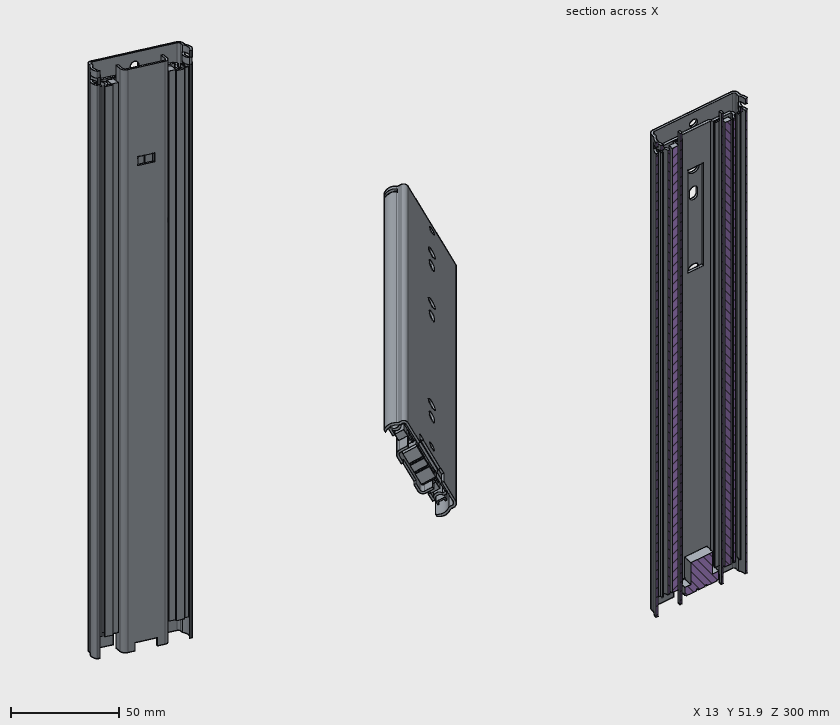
import cadquery as cq
import math


LENGTH = 300.0
DEPTH = 13.0
SHEET = 1.2
TRACK_X = 7.8
FLANGE_END_X = 11.5

LIP_Y = 24.5
LIP_THICKNESS = 1.35
CROWN_Y = 25.95
LIP_END_Y = 24.5
DENT_Y = 23.0
CORNER_RADIUS = 2.5
BULGE_START_X = 4.2
BULGE_BLEND_RADIUS = 1.8
LIP_END_RADIUS = 0.5
HOLE_DIAMETER = 6.3
PILOT_DIAMETER = 4.5
SLOT_LENGTH = 8.0
HOLE_HEIGHTS = [73.0, 201.0, 265.0]
SLOT_DROP = 16.0
PILOT_HEIGHTS = [19.8, 293.0]
DENT_BOTTOM = 292.8
DENT_HEIGHT = 3.5
NOTCH_WIDTH = 22.2
NOTCH_HEIGHT = 9.5
RELIEF_WIDTH = 3.0
RELIEF_HEIGHT = 1.0

MIDDLE_BOTTOM = 10.5
MIDDLE_TOP = 291.3
MIDDLE_SHEET = 1.35
MIDDLE_BACK_X = 2.55
MIDDLE_OFFSET = 1.0
PRESSED_HALF_WIDTH = 8.5
MIDDLE_Y = 20.7
RETURN_END_Y = 16.5
MIDDLE_CORNER = 1.5
GROOVE_HALF_WIDTH = 2.5
GROOVE_DEPTH = 1.5
WINDOW_BOTTOM = 202.2
WINDOW_TOP = 267.0
WINDOW_WIDTH = 9.0

INNER_BOTTOM = 0.5
INNER_TOP = 298.2
INNER_Y = 12.3
INNER_START_X = 6.0
INNER_CORNER = 2.7
INNER_SLOT_BOTTOM = 248.0
INNER_SLOT_HEIGHT = 4.5
INNER_SLOT_WIDTH = 9.0
CUTOUT_WIDTH = 11.7
CUTOUT_TOP = 4.8

CAGE_SHEET = 0.75
OUTER_CAGE_WIDTH = 4.8
OUTER_CAGE_Y = 21.5
OUTER_CAGE_HEIGHT = 1.8
INNER_CAGE_Y = 13.2
INNER_CAGE_HEIGHT = 3.5
INNER_CAGE_WIDTH = 4.8
INNER_CAGE_ARM = 1.0
INNER_CAGE_LEG = 4.8

STOP_BOTTOM = 4.2
STOP_TOP = 10.2
STOP_WIDTH = 19.2
STOP_BACK_X = 3.0
STOP_FRONT_X = 10.5
STOP_CORNER = 1.0
POST_WIDTH = 12.5
POST_TOP = 24.0
UNDERCUT_DEPTH = 2.5
UNDERCUT_WIDTH = 15.3
UNDERCUT_BOTTOM = 6.5
UNDERCUT_SAG = 0.3
CATCH_WIDTH = 3.0
CATCH_BOTTOM = 5.7
NICK_WIDTH = 1.0
NICK_OFFSET = 2.5


def symmetric_extrusion(half_profile, bottom, top):
    """Extrude a half profile that closes on Y = 0 and join its mirror image."""
    half = half_profile.close().extrude(top - bottom).translate((0, 0, bottom))
    return half.union(half.mirror("XZ"))


def cross_box(x_start, x_end, width, bottom, top):
    """Box centred on Y = 0."""
    box = cq.Workplane("XY").box(x_end - x_start, width, top - bottom, centered=(False, True, False))
    return box.translate((x_start, 0, bottom))


def outer_rail():
    lip_inner_y = LIP_Y - LIP_THICKNESS
    inner_radius = CORNER_RADIUS - SHEET
    diagonal = 1 - math.cos(math.radians(45))
    profile = (
        cq.Workplane("XY")
        .lineTo(0, LIP_Y - CORNER_RADIUS)
        .threePointArc(
            (CORNER_RADIUS * diagonal, LIP_Y - CORNER_RADIUS * diagonal), (CORNER_RADIUS, LIP_Y)
        )
        .lineTo(BULGE_START_X, LIP_Y)
        .threePointArc((TRACK_X, CROWN_Y), (FLANGE_END_X, LIP_END_Y))
        .lineTo(FLANGE_END_X, LIP_END_Y - LIP_THICKNESS)
        .threePointArc((TRACK_X, CROWN_Y - LIP_THICKNESS), (BULGE_START_X, lip_inner_y))
        .lineTo(CORNER_RADIUS, lip_inner_y)
        .threePointArc(
            (SHEET + inner_radius * diagonal, lip_inner_y - inner_radius * diagonal),
            (SHEET, lip_inner_y - inner_radius),
        )
        .lineTo(SHEET, 0)
    )
    rail = symmetric_extrusion(profile, 0, LENGTH)
    middle_height = LENGTH / 2
    for side in (-1, 1):
        bulge_start = cq.NearestToPointSelector((BULGE_START_X, side * LIP_Y, middle_height))
        lip_end = cq.NearestToPointSelector((FLANGE_END_X, side * LIP_END_Y, middle_height))
        rail = rail.edges(bulge_start).fillet(BULGE_BLEND_RADIUS)
        rail = rail.edges(lip_end).fillet(LIP_END_RADIUS)

    plate_face = cq.Workplane("YZ")
    slot_heights = [height - SLOT_DROP for height in HOLE_HEIGHTS]
    holes = plate_face.pushPoints([(0, z) for z in HOLE_HEIGHTS]).circle(HOLE_DIAMETER / 2).extrude(SHEET)
    pilots = plate_face.pushPoints([(0, z) for z in PILOT_HEIGHTS]).circle(PILOT_DIAMETER / 2).extrude(SHEET)
    slots = (
        plate_face.pushPoints([(0, z) for z in slot_heights])
        .slot2D(SLOT_LENGTH, PILOT_DIAMETER, 90)
        .extrude(SHEET)
    )
    notch = cross_box(0, SHEET, NOTCH_WIDTH, 0, NOTCH_HEIGHT)
    relief_top = NOTCH_HEIGHT + RELIEF_HEIGHT
    reliefs = cross_box(0, SHEET, NOTCH_WIDTH, NOTCH_HEIGHT, relief_top).cut(
        cross_box(0, SHEET, NOTCH_WIDTH - 2 * RELIEF_WIDTH, NOTCH_HEIGHT, relief_top)
    )
    rail = rail.cut(holes).cut(pilots).cut(slots).cut(notch).cut(reliefs)

    dent_top = DENT_BOTTOM + DENT_HEIGHT
    bulge_window = cross_box(BULGE_START_X, DEPTH, LENGTH, DENT_BOTTOM, dent_top)
    rail = rail.cut(bulge_window)
    for side in (-1, 1):
        dent = (
            cq.Workplane("XY")
            .moveTo(BULGE_START_X, side * LIP_Y)
            .threePointArc((TRACK_X, side * DENT_Y), (FLANGE_END_X, side * LIP_END_Y))
            .lineTo(FLANGE_END_X, side * (LIP_END_Y - LIP_THICKNESS))
            .threePointArc(
                (TRACK_X, side * (DENT_Y - LIP_THICKNESS)), (BULGE_START_X, side * lip_inner_y)
            )
            .close()
            .extrude(DENT_HEIGHT)
            .translate((0, 0, DENT_BOTTOM))
        )
        rail = rail.union(dent)
    return rail


def middle_rail():
    pressed_x = MIDDLE_BACK_X - MIDDLE_OFFSET
    web_x = MIDDLE_BACK_X + MIDDLE_SHEET
    step_end = PRESSED_HALF_WIDTH + MIDDLE_OFFSET
    inner_y = MIDDLE_Y - MIDDLE_SHEET
    groove_start = TRACK_X - GROOVE_HALF_WIDTH
    groove_end = TRACK_X + GROOVE_HALF_WIDTH
    profile = (
        cq.Workplane("XY")
        .moveTo(pressed_x, 0)
        .lineTo(pressed_x, PRESSED_HALF_WIDTH)
        .lineTo(MIDDLE_BACK_X, step_end)
        .lineTo(MIDDLE_BACK_X, MIDDLE_Y - MIDDLE_CORNER)
        .lineTo(MIDDLE_BACK_X + MIDDLE_CORNER, MIDDLE_Y)
        .lineTo(groove_start, MIDDLE_Y)
        .threePointArc((TRACK_X, MIDDLE_Y - GROOVE_DEPTH), (groove_end, MIDDLE_Y))
        .lineTo(FLANGE_END_X, MIDDLE_Y)
        .lineTo(FLANGE_END_X, RETURN_END_Y)
        .lineTo(groove_end, RETURN_END_Y)
        .lineTo(groove_end, inner_y)
        .threePointArc((TRACK_X, inner_y - GROOVE_DEPTH), (groove_start, inner_y))
        .lineTo(web_x, inner_y)
        .lineTo(web_x, step_end)
        .lineTo(web_x - MIDDLE_OFFSET, PRESSED_HALF_WIDTH)
        .lineTo(web_x - MIDDLE_OFFSET, 0)
    )
    rail = symmetric_extrusion(profile, MIDDLE_BOTTOM, MIDDLE_TOP)
    window = cross_box(pressed_x, web_x, WINDOW_WIDTH, WINDOW_BOTTOM, WINDOW_TOP)
    return rail.cut(window)


def inner_rail():
    web_x = DEPTH - SHEET
    flanges = cross_box(INNER_START_X, DEPTH, 2 * INNER_Y, INNER_BOTTOM, INNER_TOP)
    flanges = flanges.edges("|Z and >X").fillet(INNER_CORNER)
    channel = cross_box(INNER_START_X, web_x, 2 * (INNER_Y - SHEET), INNER_BOTTOM, INNER_TOP)
    channel = channel.edges("|Z and >X").fillet(INNER_CORNER - SHEET)
    slot = cross_box(
        web_x, DEPTH, INNER_SLOT_WIDTH, INNER_SLOT_BOTTOM, INNER_SLOT_BOTTOM + INNER_SLOT_HEIGHT
    )
    cutout = cross_box(web_x, DEPTH, CUTOUT_WIDTH, INNER_BOTTOM, CUTOUT_TOP)
    return flanges.cut(channel).cut(slot).cut(cutout)


def outer_retainer(side):
    """U-shaped strip in the gap between an outer lip and the middle flange."""
    length = MIDDLE_TOP - MIDDLE_BOTTOM
    base = cq.Workplane("XY").box(OUTER_CAGE_WIDTH, OUTER_CAGE_HEIGHT, length, centered=(True, False, False))
    groove = (
        cq.Workplane("XY")
        .box(OUTER_CAGE_WIDTH - 2 * CAGE_SHEET, OUTER_CAGE_HEIGHT, length, centered=(True, False, False))
        .translate((0, CAGE_SHEET, 0))
    )
    strip = base.cut(groove).translate((TRACK_X, OUTER_CAGE_Y, MIDDLE_BOTTOM))
    return strip if side > 0 else strip.mirror("XZ")


def inner_retainer(side):
    """Strip between a middle and an inner flange, with a leg along the middle web."""
    length = MIDDLE_TOP - MIDDLE_BOTTOM
    strip_x = TRACK_X - INNER_CAGE_WIDTH / 2
    leg_x = strip_x - INNER_CAGE_ARM
    strip_top = INNER_CAGE_Y + INNER_CAGE_HEIGHT
    arm_top = INNER_CAGE_Y + CAGE_SHEET
    leg_end = arm_top - INNER_CAGE_LEG
    outline = [
        (leg_x, leg_end),
        (leg_x, arm_top),
        (strip_x, arm_top),
        (strip_x, strip_top),
        (strip_x + INNER_CAGE_WIDTH, strip_top),
        (strip_x + INNER_CAGE_WIDTH, INNER_CAGE_Y),
        (leg_x + CAGE_SHEET, INNER_CAGE_Y),
        (leg_x + CAGE_SHEET, leg_end),
    ]
    strip = cq.Workplane("XY").polyline(outline).close().extrude(length).translate((0, 0, MIDDLE_BOTTOM))
    return strip if side > 0 else strip.mirror("XZ")


def stop_undercut():
    """Cutter for the rounded undercut in the back of the stop block."""
    height = NOTCH_HEIGHT - UNDERCUT_BOTTOM
    middle_x = UNDERCUT_DEPTH / 2 - UNDERCUT_SAG
    middle_z = -height / 2 - UNDERCUT_SAG
    return (
        cq.Workplane("XZ", origin=(STOP_BACK_X, 0, NOTCH_HEIGHT))
        .threePointArc((middle_x, middle_z), (UNDERCUT_DEPTH, -height))
        .lineTo(0, -height)
        .close()
        .extrude(UNDERCUT_WIDTH / 2, both=True)
    )


def stop_block():
    base = cross_box(STOP_BACK_X, STOP_FRONT_X, STOP_WIDTH, STOP_BOTTOM, STOP_TOP)
    base = base.edges("|X and <Z").chamfer(STOP_CORNER)
    post = cross_box(STOP_BACK_X, STOP_FRONT_X, POST_WIDTH, STOP_TOP, POST_TOP)
    block = base.union(post)
    catch = cross_box(STOP_BACK_X, STOP_BACK_X + UNDERCUT_DEPTH, CATCH_WIDTH, CATCH_BOTTOM, UNDERCUT_BOTTOM)
    block = block.cut(stop_undercut()).cut(catch)
    for side in (-1, 1):
        nick = cross_box(STOP_BACK_X, STOP_FRONT_X, NICK_WIDTH, STOP_BOTTOM, STOP_BOTTOM + NICK_WIDTH)
        block = block.cut(nick.translate((0, side * NICK_OFFSET, 0)))
    return block


outer_retainers = [outer_retainer(side) for side in (-1, 1)]
inner_retainers = [inner_retainer(side) for side in (-1, 1)]

result = cq.Compound.makeCompound(
    [outer_rail().val(), middle_rail().val(), inner_rail().val(), stop_block().val()]
    + [retainer.val() for retainer in outer_retainers + inner_retainers]
)